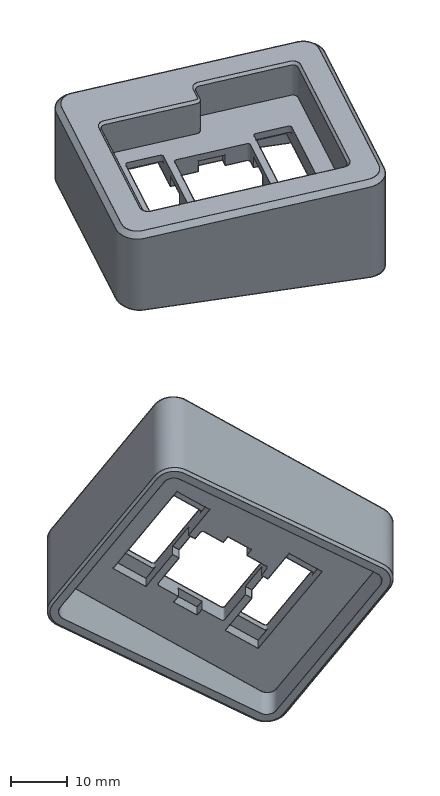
import cadquery as cq
import math

case_width = 40.6
case_length = 50.1
case_height = 23.2
corner_radius = 4
top_chamfer = 1
bottom_chamfer = 0.5
bottom_tilt = 6
wall = 2

recess_width = 28.65
recess_length = 38.2
recess_step_width = 4.3
recess_step_y = 0
recess_radius = 1
recess_depth = 7.6
recess_rim_chamfer = 0.5

plate_thickness = 1.5
floor_thickness = 4

switch_x = 2.4
switch_size = 14.15
notch_width = 5
notch_depth = 1.5
passage_x = 0

slot_x = 0.85
slot_spacing = 23.95
slot_width = 15.15
slot_length = 7
relief_overhang = 2.5
opening_radius = 0.5

floor_top = -recess_depth
plate_bottom = floor_top - plate_thickness
floor_bottom = floor_top - floor_thickness
deepest = -2 * case_height

slope = math.tan(math.radians(bottom_tilt))
lowest_y = case_length / 2 - bottom_chamfer * math.cos(math.radians(bottom_tilt))
bottom_at_center = -case_height + lowest_y * slope


def block(x, y, width, length, z_top, z_bottom, radius=0):
    """Upright box centred on (x, y), with rounded vertical edges if a radius is given."""
    solid = (
        cq.Workplane("XY", origin=(x, y, z_bottom))
        .rect(width, length)
        .extrude(z_top - z_bottom)
    )
    if radius:
        solid = solid.edges("|Z").fillet(radius)
    return solid


def sloped_below():
    """Everything under the tilted bottom plane."""
    drop = case_length * slope
    return (
        cq.Workplane("YZ", origin=(-case_width, 0, 0))
        .polyline([
            (-case_length, bottom_at_center + drop),
            (case_length, bottom_at_center - drop),
            (case_length, 2 * deepest),
            (-case_length, 2 * deepest),
        ])
        .close()
        .extrude(2 * case_width)
    )


def outer_case():
    body = block(0, 0, case_width, case_length, 0, deepest, corner_radius)
    body = body.faces(">Z").chamfer(top_chamfer)
    body = body.cut(sloped_below())
    return body.faces("<Z").chamfer(bottom_chamfer)


def cavity():
    """Hollow underside, open at the bottom."""
    return block(
        0, 0, case_width - 2 * wall, case_length - 2 * wall,
        floor_bottom, deepest, corner_radius - wall,
    )


def keycap_recess():
    right = recess_width / 2
    back = recess_length / 2
    step_x = -right + recess_step_width
    return (
        cq.Workplane("XY", origin=(0, 0, floor_top))
        .polyline([
            (-right, back),
            (right, back),
            (right, -back),
            (step_x, -back),
            (step_x, recess_step_y),
            (-right, recess_step_y),
        ])
        .close()
        .extrude(recess_depth)
        .edges("|Z")
        .fillet(recess_radius)
    )


def switch_opening():
    opening = block(switch_x, 0, switch_size, switch_size, floor_top, floor_bottom, opening_radius)
    notch_span = switch_size + 2 * notch_depth
    clip_notches = block(switch_x, 0, notch_span, notch_width, plate_bottom, floor_bottom)
    passages = block(passage_x, 0, notch_width, slot_spacing, plate_bottom, floor_bottom)
    return opening.union(clip_notches).union(passages)


def slot(y):
    opening = block(slot_x, y, slot_width, slot_length, floor_top, plate_bottom, opening_radius)
    relief_width = slot_width + 2 * relief_overhang
    return opening.union(block(slot_x, y, relief_width, slot_length, plate_bottom, floor_bottom))


def chamfer_recess_rim(body):
    x_reach = recess_width / 2 + recess_rim_chamfer
    y_reach = recess_length / 2 + recess_rim_chamfer
    rim = cq.selectors.BoxSelector(
        (-x_reach, -y_reach, -recess_rim_chamfer),
        (x_reach, y_reach, recess_rim_chamfer),
    )
    return body.edges(rim).chamfer(recess_rim_chamfer)


result = chamfer_recess_rim(outer_case().cut(keycap_recess()))
result = result.cut(cavity()).cut(switch_opening())
for side in (-1, 1):
    result = result.cut(slot(side * slot_spacing / 2))